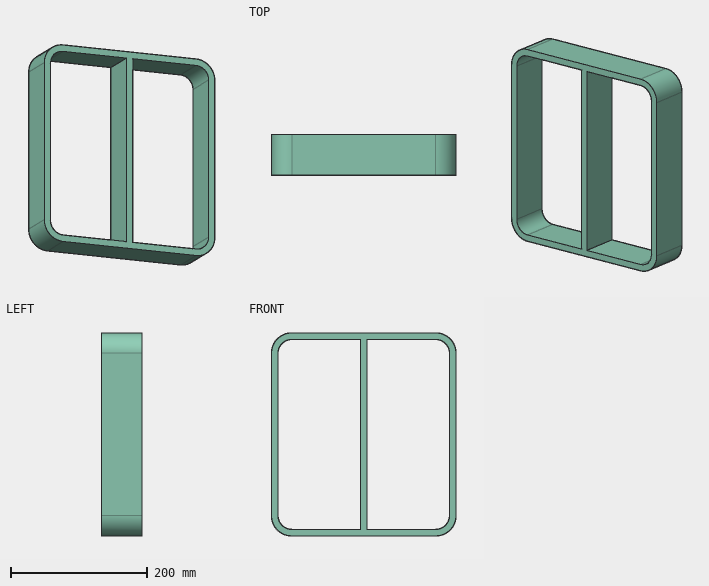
import cadquery as cq

frame_width = 271.0
frame_depth = 60.0
frame_height = 298.0
wall_thickness = 10.0
outer_radius = 30.0

inner_width = frame_width - 2 * wall_thickness
inner_height = frame_height - 2 * wall_thickness
inner_radius = outer_radius - wall_thickness


def rounded_block(width, height, corner_radius):
    """Block centred on the origin with its four Y-parallel edges rounded."""
    return cq.Workplane("XY").box(width, frame_depth, height).edges("|Y").fillet(corner_radius)


def make_frame():
    """Rounded rectangular ring, open along Y."""
    outer_block = rounded_block(frame_width, frame_height, outer_radius)
    opening = rounded_block(inner_width, inner_height, inner_radius)
    return outer_block.cut(opening)


def make_divider():
    """Upright plate at mid-width, reaching from the bottom wall to the top wall."""
    return cq.Workplane("XY").box(wall_thickness, frame_depth, inner_height)


result = make_frame().union(make_divider())